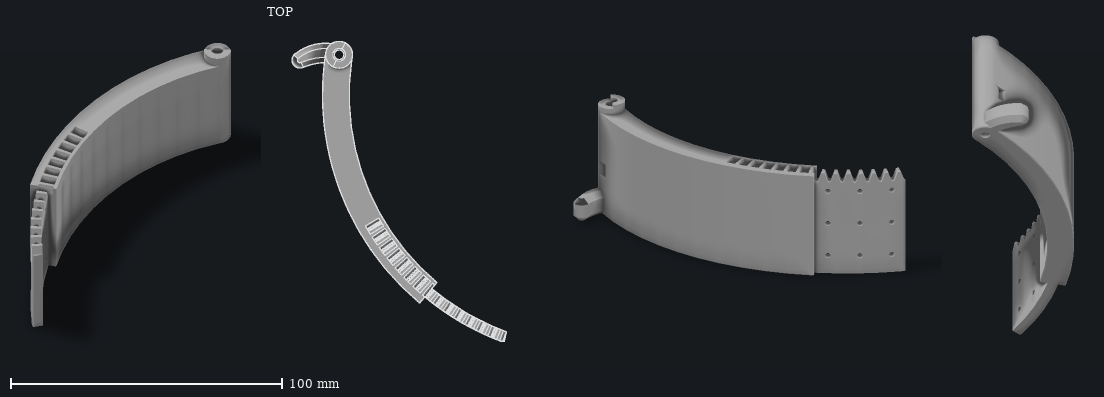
import cadquery as cq
import math

BEND_CENTRE = (93.8, -14.8)

ARM_INNER_RADIUS = 90.0
ARM_OUTER_RADIUS = 100.0
ARM_HEIGHT = 40.0
FOOT_CHAMFER = 0.3
ARM_START_ANGLE = 180 + math.degrees(math.atan2(BEND_CENTRE[1], BEND_CENTRE[0]))
ARM_END_ANGLE = 230.1

BLADE_INNER_RADIUS = 93.0
BLADE_OUTER_RADIUS = 97.0
BLADE_INNER_END_ANGLE = 249.8
BLADE_OUTER_END_ANGLE = 250.1
BLADE_CHAMFER_ON_END = 0.4
BLADE_CHAMFER_ON_FACE = 1.1
BLADE_ROOT_OVERLAP = 1.0

TOOTH_PITCH = 2.8
FIRST_VALLEY_ANGLE = 210.9
ARM_VALLEY_COUNT = 8
BLADE_VALLEY_COUNT = 8
VALLEY_DEPTH = 3.5
VALLEY_ROOT_HEIGHT = 0.4
VALLEY_TOP_WIDTH = 3.5
VALLEY_ROOT_WIDTH = 1.2
VALLEY_FLOOR_WIDTH = 0.4
SOCKET_INNER_RADIUS = 91.3
SOCKET_OUTER_RADIUS = BLADE_OUTER_RADIUS

HOLE_DIAMETER = 2.0
HOLE_ANGLES = (233, 240, 247)
HOLE_ROW_SPACING = 12.9

HINGE_DIAMETER = 10.0
HINGE_HEIGHT = 44.0
HINGE_STEP_DEPTH = 1.5
HINGE_STEP_ANGLE = 63.0
PIN_BORE_DIAMETER = 4.6
PIN_LEDGE_DIAMETER = 3.4
PIN_LEDGE_HEIGHT = 2.0

FINGER_HEIGHT = 9.0
FINGER_CHAMFER = 2.0
FINGER_BACK_ARC = ((-2.2, 4.1), (-10.2, 3.5), (-15.9, 0.5))
FINGER_TIP_MIDDLE = (-17.0, -3.4)
FINGER_FRONT_ARC = ((-13.2, -4.6), (-8.9, -3.3), (-2.2, -3.0))

RELIEF_BOTTOM = 15.3
RELIEF_HEIGHT = 5.5
RELIEF_WALL_INNER_END = (-3.2, -3.8)
RELIEF_WALL_OUTER_END = (-5.6, -4.5)
RELIEF_OUTSIDE_X = -8.9
RELIEF_TOP_Y = 1.7


def bend_point(radius, angle):
    """Point at a polar position around the bend axis."""
    turn = math.radians(angle)
    return (
        BEND_CENTRE[0] + radius * math.cos(turn),
        BEND_CENTRE[1] + radius * math.sin(turn),
    )


def curved_band(inner_radius, outer_radius, start_angle, inner_end_angle, outer_end_angle):
    """Upright band of the arm's height, from a radial start face to the given end corners."""
    middle_angle = (start_angle + inner_end_angle) / 2
    return (
        cq.Workplane("XY")
        .moveTo(*bend_point(outer_radius, start_angle))
        .threePointArc(bend_point(outer_radius, middle_angle), bend_point(outer_radius, outer_end_angle))
        .lineTo(*bend_point(inner_radius, inner_end_angle))
        .threePointArc(bend_point(inner_radius, middle_angle), bend_point(inner_radius, start_angle))
        .close()
        .extrude(ARM_HEIGHT)
    )


def radial_plane(radius, angle, z):
    """Plane facing away from the bend axis, with its local y along Z."""
    turn = math.radians(angle)
    x, y = bend_point(radius, angle)
    return cq.Plane(
        origin=(x, y, z),
        xDir=(-math.sin(turn), math.cos(turn), 0),
        normal=(math.cos(turn), math.sin(turn), 0),
    )


def tooth_valley(inner_radius, outer_radius, angle):
    half_top = VALLEY_TOP_WIDTH / 2
    half_root = VALLEY_ROOT_WIDTH / 2
    half_floor = VALLEY_FLOOR_WIDTH / 2
    root_z = VALLEY_ROOT_HEIGHT - VALLEY_DEPTH
    return (
        cq.Workplane(radial_plane(inner_radius, angle, ARM_HEIGHT))
        .polyline(
            [
                (-half_top, 0),
                (-half_root, root_z),
                (-half_floor, -VALLEY_DEPTH),
                (half_floor, -VALLEY_DEPTH),
                (half_root, root_z),
                (half_top, 0),
            ]
        )
        .close()
        .extrude(outer_radius - inner_radius)
    )


def make_arm():
    arm = curved_band(
        ARM_INNER_RADIUS, ARM_OUTER_RADIUS, ARM_START_ANGLE, ARM_END_ANGLE, ARM_END_ANGLE
    )
    arm = arm.faces("<Z").edges("%CIRCLE").chamfer(FOOT_CHAMFER)
    for index in range(ARM_VALLEY_COUNT):
        angle = FIRST_VALLEY_ANGLE + index * TOOTH_PITCH
        arm = arm.cut(tooth_valley(SOCKET_INNER_RADIUS, SOCKET_OUTER_RADIUS, angle))
    relief = (
        cq.Workplane("XY")
        .workplane(offset=RELIEF_BOTTOM)
        .polyline(
            [
                (RELIEF_WALL_INNER_END[0], RELIEF_TOP_Y),
                RELIEF_WALL_INNER_END,
                RELIEF_WALL_OUTER_END,
                (RELIEF_OUTSIDE_X, RELIEF_WALL_OUTER_END[1]),
                (RELIEF_OUTSIDE_X, RELIEF_TOP_Y),
            ]
        )
        .close()
        .extrude(RELIEF_HEIGHT)
    )
    return arm.cut(relief)


def make_blade():
    blade = curved_band(
        BLADE_INNER_RADIUS,
        BLADE_OUTER_RADIUS,
        ARM_END_ANGLE - BLADE_ROOT_OVERLAP,
        BLADE_INNER_END_ANGLE,
        BLADE_OUTER_END_ANGLE,
    )
    corner = bend_point(BLADE_OUTER_RADIUS, BLADE_OUTER_END_ANGLE) + (ARM_HEIGHT / 2,)
    blade = blade.edges(cq.selectors.NearestToPointSelector(corner)).chamfer(
        BLADE_CHAMFER_ON_FACE, BLADE_CHAMFER_ON_END
    )
    first_angle = FIRST_VALLEY_ANGLE + (ARM_VALLEY_COUNT - 1) * TOOTH_PITCH
    for index in range(BLADE_VALLEY_COUNT):
        angle = first_angle + index * TOOTH_PITCH
        blade = blade.cut(tooth_valley(ARM_INNER_RADIUS, ARM_OUTER_RADIUS, angle))
    for angle in HOLE_ANGLES:
        for row in (-1, 0, 1):
            z = ARM_HEIGHT / 2 + row * HOLE_ROW_SPACING
            hole = (
                cq.Workplane(radial_plane(ARM_INNER_RADIUS, angle, z))
                .circle(HOLE_DIAMETER / 2)
                .extrude(ARM_OUTER_RADIUS - ARM_INNER_RADIUS)
            )
            blade = blade.cut(hole)
    return blade


def make_finger():
    return (
        cq.Workplane("XY")
        .moveTo(*FINGER_BACK_ARC[0])
        .threePointArc(*FINGER_BACK_ARC[1:])
        .threePointArc(FINGER_TIP_MIDDLE, FINGER_FRONT_ARC[0])
        .threePointArc(*FINGER_FRONT_ARC[1:])
        .close()
        .extrude(FINGER_HEIGHT)
        .faces("<Z or >Z")
        .edges()
        .chamfer(FINGER_CHAMFER)
    )


def make_hinge():
    barrel = cq.Workplane("XY").circle(HINGE_DIAMETER / 2).extrude(HINGE_HEIGHT)
    barrel = barrel.faces("<Z").edges().chamfer(FOOT_CHAMFER)
    step = (
        cq.Workplane("XY")
        .rect(2 * HINGE_DIAMETER, HINGE_DIAMETER)
        .extrude(HINGE_STEP_DEPTH)
        .translate((0, HINGE_DIAMETER / 2, HINGE_HEIGHT - HINGE_STEP_DEPTH))
        .rotate((0, 0, 0), (0, 0, 1), HINGE_STEP_ANGLE)
    )
    return barrel.cut(step)


def make_pin_bore():
    ledge = cq.Workplane("XY").circle(PIN_LEDGE_DIAMETER / 2).extrude(HINGE_HEIGHT)
    bore = (
        cq.Workplane("XY")
        .workplane(offset=PIN_LEDGE_HEIGHT)
        .circle(PIN_BORE_DIAMETER / 2)
        .extrude(HINGE_HEIGHT - PIN_LEDGE_HEIGHT)
    )
    return ledge.union(bore)


result = (
    make_arm()
    .union(make_blade())
    .union(make_finger())
    .union(make_hinge())
    .cut(make_pin_bore())
)